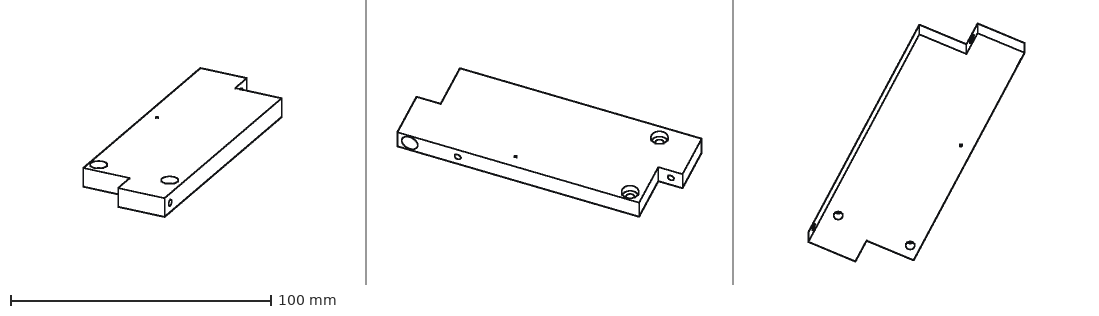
import cadquery as cq
import math

length = 110.0
width = 40.0
thickness = 8.0
notch_length = 10.0
half_width = width / 2
half_length = length / 2
mid_height = thickness / 2

screw_diameter = 3.4
counterbore_diameter = 6.6
top_counterbore_depth = 3.0
side_counterbore_depth = 10.0
top_screw_left_inset = 4.0
top_screw_right_inset = 5.5
top_screw_end_inset = 15.3
side_screw_inset = 5.2

side_bore_diameter = 2.5
tab_bore_inset = 4.8
blind_bore_inset = 25.0
blind_bore_depth = 10.0
drill_tip_angle = 118
pin_hole_diameter = 1.0
pin_hole_side_inset = 5.0
pin_hole_end_inset = 47.0


def notched_plate():
    """Plate centred in X and Y, standing on Z = 0."""
    outline = [
        (-half_width, notch_length - half_length),
        (0, notch_length - half_length),
        (0, -half_length),
        (half_width, -half_length),
        (half_width, half_length - notch_length),
        (0, half_length - notch_length),
        (0, half_length),
        (-half_width, half_length),
    ]
    return cq.Workplane("XY").polyline(outline).close().extrude(thickness)


def bore(start, direction, diameter, depth):
    """Cylinder that starts at a point and runs along a direction."""
    return cq.Solid.makeCylinder(diameter / 2, depth, cq.Vector(*start), cq.Vector(*direction))


def counterbored_hole(start, direction, depth, seat_depth):
    """Clearance hole with a flat screw-head seat below its entry."""
    hole = cq.Workplane(bore(start, direction, screw_diameter, depth))
    return hole.union(bore(start, direction, counterbore_diameter, seat_depth))


def drilled_bore(start, direction, depth):
    """Bore with the conical end left by a drill beyond its full-diameter depth."""
    radius = side_bore_diameter / 2
    tip_length = radius / math.tan(math.radians(drill_tip_angle / 2))
    axis = cq.Vector(*direction)
    tip_start = cq.Vector(*start) + axis * depth
    tip = cq.Solid.makeCone(radius, 0, tip_length, tip_start, axis)
    return cq.Workplane(bore(start, direction, side_bore_diameter, depth)).union(tip)


into_side = (1, 0, 0)
downward = (0, 0, -1)

result = notched_plate()

for screw_x in (top_screw_left_inset - half_width, half_width - top_screw_right_inset):
    screw_start = (screw_x, top_screw_end_inset - half_length, thickness)
    result = result.cut(counterbored_hole(screw_start, downward, thickness, top_counterbore_depth))

side_screw_start = (-half_width, half_length - side_screw_inset, mid_height)
side_screw_hole = counterbored_hole(side_screw_start, into_side, half_width, side_counterbore_depth)
result = result.cut(side_screw_hole)

tab_bore_start = (0, tab_bore_inset - half_length, mid_height)
result = result.cut(cq.Workplane(bore(tab_bore_start, into_side, side_bore_diameter, half_width)))

pin_x = pin_hole_side_inset - half_width
pin_y = half_length - pin_hole_end_inset
pin_start = (pin_x, pin_y, thickness)
result = result.cut(cq.Workplane(bore(pin_start, downward, pin_hole_diameter, thickness)))

blind_bore_start = (-half_width, half_length - blind_bore_inset, mid_height)
result = result.cut(drilled_bore(blind_bore_start, into_side, blind_bore_depth))